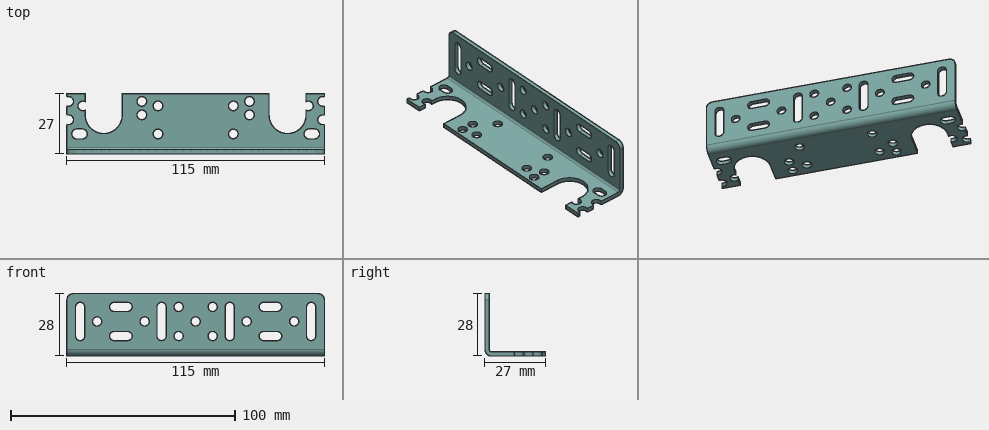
import cadquery as cq

LENGTH = 115.0
BASE_DEPTH = 27.0
HEIGHT = 28.0
THICKNESS = 2.0
INNER_BEND_RADIUS = 1.0
UPRIGHT_CORNER_RADIUS = 3.0
END_X = LENGTH / 2

UPRIGHT_HOLE_DIAMETER = 4.0
UPRIGHT_CENTER_Z = 15.5
UPRIGHT_ROW_OFFSET = 6.5
UPRIGHT_ROWS_Z = (UPRIGHT_CENTER_Z - UPRIGHT_ROW_OFFSET, UPRIGHT_CENTER_Z + UPRIGHT_ROW_OFFSET)
MIDDLE_ROW_HOLES_X = (22.75, 43.95)
PAIRED_HOLES_X = 7.6
TALL_SLOTS_X = (15.2, 51.5)
TALL_SLOT_LENGTH = 2 * UPRIGHT_ROW_OFFSET + UPRIGHT_HOLE_DIAMETER
LONG_SLOTS_X = sum(MIDDLE_ROW_HOLES_X) / 2
LONG_SLOT_LENGTH = 10.0

BASE_HOLE_DIAMETER = 4.2
BASE_REAR_ROW_Y = 21.5
BASE_FRONT_ROW_Y = 9.0
BASE_HOLES = (
    (16.8, BASE_FRONT_ROW_Y),
    (16.8, BASE_REAR_ROW_Y),
    (24.0, 17.5),
    (24.0, 23.5),
)
BASE_SLOT_X = 51.8
BASE_SLOT_LENGTH = 6.8
BASE_SLOT_WIDTH = 4.4

OPENING_X = 41.0
OPENING_WIDTH = 16.4
OPENING_FLOOR_Y = 9.2
OPENING_NOTCH_X = 50.3

END_NOTCHES_Y = (15.3, 23.5)
END_NOTCH_INSET = 0.9
END_NOTCH_LIP_RADIUS = 0.5


def bent_sheet():
    """L-section with a rounded bend, extruded along X, with the upright's top corners rounded."""
    section = (
        cq.Workplane("YZ")
        .moveTo(0, 0)
        .lineTo(BASE_DEPTH, 0)
        .lineTo(BASE_DEPTH, THICKNESS)
        .lineTo(THICKNESS, THICKNESS)
        .lineTo(THICKNESS, HEIGHT)
        .lineTo(0, HEIGHT)
        .close()
        .extrude(END_X, both=True)
    )
    inner_corner = cq.selectors.NearestToPointSelector((0, THICKNESS, THICKNESS))
    outer_corner = cq.selectors.NearestToPointSelector((0, 0, 0))
    sheet = section.edges(inner_corner).fillet(INNER_BEND_RADIUS)
    sheet = sheet.edges(outer_corner).fillet(INNER_BEND_RADIUS + THICKNESS)
    return sheet.faces(">Z").edges("|Y").fillet(UPRIGHT_CORNER_RADIUS)


def mirrored(points):
    """Repeat points about the middle of the bracket."""
    return [(side * x, other) for x, other in points for side in (-1, 1)]


def upright_sketch(points):
    """Sketch points on the front face of the upright flange."""
    return cq.Workplane("XZ").pushPoints(points)


def base_sketch(points):
    """Sketch points on the underside of the base flange."""
    return cq.Workplane("XY").pushPoints(points)


def cut_upright(body):
    """Holes and slots through the upright flange."""
    row_holes = [(x, UPRIGHT_CENTER_Z) for x in MIDDLE_ROW_HOLES_X]
    pair_holes = [(PAIRED_HOLES_X, z) for z in UPRIGHT_ROWS_Z]
    holes = mirrored(row_holes + pair_holes) + [(0, UPRIGHT_CENTER_Z)]
    tall_slots = mirrored([(x, UPRIGHT_CENTER_Z) for x in TALL_SLOTS_X])
    long_slots = mirrored([(LONG_SLOTS_X, z) for z in UPRIGHT_ROWS_Z])
    depth = -THICKNESS
    body = body.cut(upright_sketch(holes).circle(UPRIGHT_HOLE_DIAMETER / 2).extrude(depth))
    tall_sketch = upright_sketch(tall_slots).slot2D(TALL_SLOT_LENGTH, UPRIGHT_HOLE_DIAMETER, angle=90)
    body = body.cut(tall_sketch.extrude(depth))
    return body.cut(upright_sketch(long_slots).slot2D(LONG_SLOT_LENGTH, UPRIGHT_HOLE_DIAMETER).extrude(depth))


def cut_base_holes(body):
    """Round holes and the short slots through the base flange."""
    slots = mirrored([(BASE_SLOT_X, BASE_FRONT_ROW_Y)])
    body = body.cut(base_sketch(mirrored(BASE_HOLES)).circle(BASE_HOLE_DIAMETER / 2).extrude(THICKNESS))
    return body.cut(base_sketch(slots).slot2D(BASE_SLOT_LENGTH, BASE_SLOT_WIDTH).extrude(THICKNESS))


def cut_openings(body):
    """U-shaped openings in the rear edge and the notch in each outer wall."""
    radius = OPENING_WIDTH / 2
    arc_center_y = OPENING_FLOOR_Y + radius
    straight = BASE_DEPTH - arc_center_y
    arcs = mirrored([(OPENING_X, arc_center_y)])
    throats = mirrored([(OPENING_X, arc_center_y + straight / 2)])
    notches = mirrored([(OPENING_NOTCH_X, BASE_REAR_ROW_Y)])
    body = body.cut(base_sketch(arcs).circle(radius).extrude(THICKNESS))
    body = body.cut(base_sketch(throats).rect(OPENING_WIDTH, straight).extrude(THICKNESS))
    return body.cut(base_sketch(notches).circle(BASE_HOLE_DIAMETER / 2).extrude(THICKNESS))


def cut_end_notches(body):
    """Round notches in both ends of the base flange, with rounded lips."""
    centers = mirrored([(END_X - END_NOTCH_INSET, y) for y in END_NOTCHES_Y])
    body = body.cut(base_sketch(centers).circle(BASE_HOLE_DIAMETER / 2).extrude(THICKNESS))
    for side in (-1, 1):
        for y in END_NOTCHES_Y:
            lip_edges = cq.selectors.BoxSelector(
                (side * (END_X - END_NOTCH_INSET / 2), y - BASE_HOLE_DIAMETER / 2, 0),
                (side * (END_X + END_NOTCH_INSET / 2), y + BASE_HOLE_DIAMETER / 2, THICKNESS),
            )
            body = body.edges("|Z").edges(lip_edges).fillet(END_NOTCH_LIP_RADIUS)
    return body


result = cut_end_notches(cut_openings(cut_base_holes(cut_upright(bent_sheet()))))